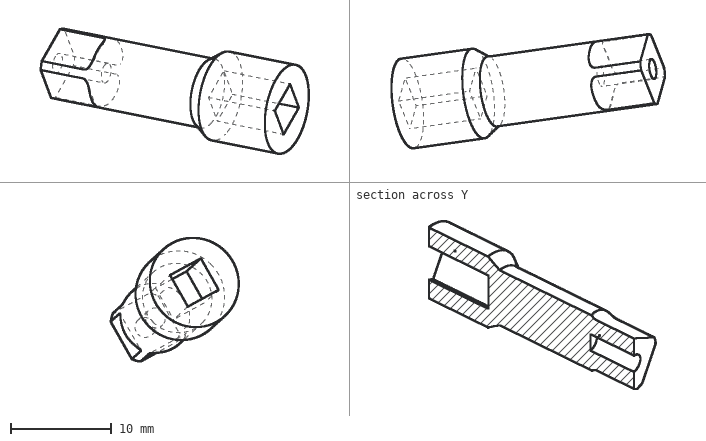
import cadquery as cq

total_length = 26.0
head_diameter = 9.0
head_length = 7.51
shank_diameter = 7.0
neck_length = 1.48

flat_spacing = 5.55
flat_length = 5.5
runout_radius = 0.73
square_angle = 30.0
sides = 4

center_hole_diameter = 2.0
center_hole_depth = flat_length

socket_width = 3.6
socket_depth = head_length

head_start = total_length - head_length
neck_start = head_start - neck_length


def turned_body():
    """Shank, conical neck and head as one revolved profile."""
    profile = (
        cq.Workplane("XY")
        .moveTo(0, 0)
        .lineTo(0, shank_diameter / 2)
        .lineTo(neck_start, shank_diameter / 2)
        .lineTo(head_start, head_diameter / 2)
        .lineTo(total_length, head_diameter / 2)
        .lineTo(total_length, 0)
        .close()
    )
    return profile.revolve(360, (0, 0, 0), (1, 0, 0))


def flat_cutter(angle):
    """Material removed for one flat, ending in a concave quarter-round runout."""
    flat_height = flat_spacing / 2
    cutter = (
        cq.Workplane("XZ")
        .moveTo(0, flat_height)
        .lineTo(flat_length - runout_radius, flat_height)
        .radiusArc((flat_length, flat_height + runout_radius), -runout_radius)
        .lineTo(flat_length, shank_diameter)
        .lineTo(0, shank_diameter)
        .close()
        .extrude(shank_diameter / 2, both=True)
    )
    return cutter.rotate((0, 0, 0), (1, 0, 0), angle)


def center_hole():
    """Blind hole in the driving end."""
    return cq.Workplane("YZ").circle(center_hole_diameter / 2).extrude(center_hole_depth)


def square_socket():
    """Blind square socket in the head, lined up with the driving square."""
    socket = (
        cq.Workplane("YZ", origin=(total_length, 0, 0))
        .rect(socket_width, socket_width)
        .extrude(-socket_depth)
    )
    return socket.rotate((0, 0, 0), (1, 0, 0), square_angle)


result = turned_body()
for side in range(sides):
    result = result.cut(flat_cutter(square_angle + side * 360 / sides))
result = result.cut(center_hole()).cut(square_socket())